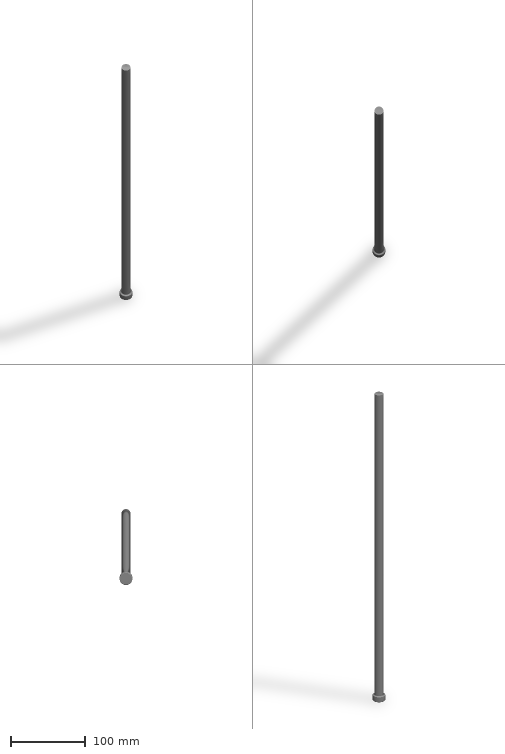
import cadquery as cq

total_length = 450.0
shaft_diameter = 12.0
head_diameter = 17.0
head_height = 8.0

head_chamfer = 0.5
neck_fillet = 0.5

shaft_radius = shaft_diameter / 2
head_radius = head_diameter / 2
head_face_radius = head_radius - head_chamfer


def make_pin():
    """Revolve the half section of a headed pin about Z, with the head standing on Z = 0."""
    half_section = (
        cq.Workplane("XZ")
        .lineTo(head_face_radius, 0)
        .lineTo(head_radius, head_chamfer)
        .lineTo(head_radius, head_height - head_chamfer)
        .lineTo(head_face_radius, head_height)
        .lineTo(shaft_radius + neck_fillet, head_height)
        .radiusArc((shaft_radius, head_height + neck_fillet), neck_fillet)
        .lineTo(shaft_radius, total_length)
        .lineTo(0, total_length)
        .close()
    )
    return half_section.revolve(360, (0, 0, 0), (0, 1, 0))


result = make_pin()